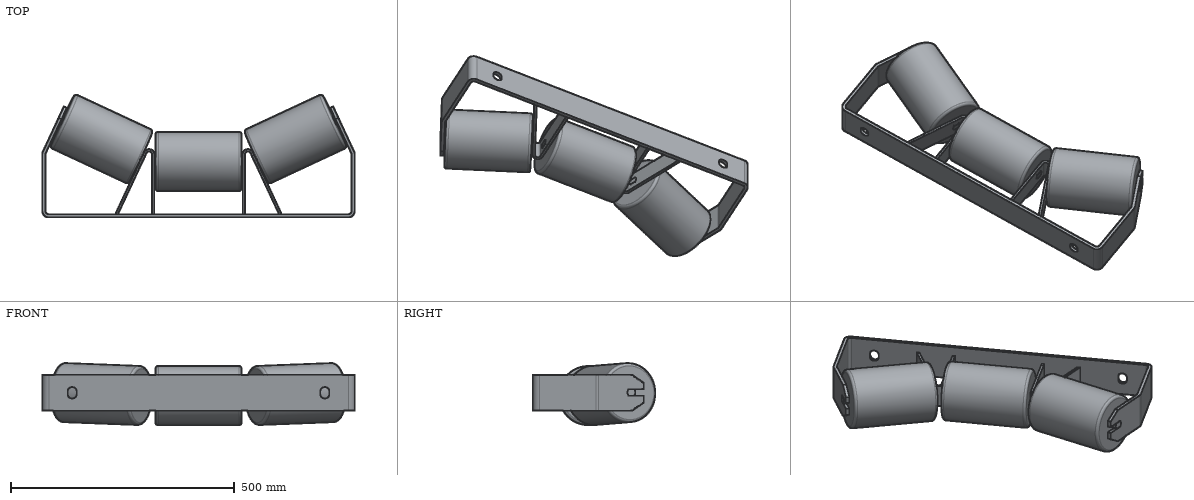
import cadquery as cq
import math

FRAME_LENGTH = 700.0
FRAME_HEIGHT = 80.0
FRAME_THICKNESS = 8.0
FRAME_BEND_RADIUS = 15.0
SIDE_HEIGHT = 144.0
ARM_TIP_Y = 248.5
ARM_TIP_WIDTH = 45.0
ARM_TAPER_LENGTH = 28.0
MOUNT_HOLE_X = 283.0
MOUNT_HOLE_WIDTH = 20.0
MOUNT_HOLE_HEIGHT = 26.0

SPLAY_ANGLE = 25.0
RISE_ANGLE = 2.0
ROLLER_DIAMETER = 133.0
ROLLER_LENGTH = 193.0
ROLLER_FILLET = 6.0
SHAFT_DIAMETER = 19.5
SHAFT_FLATS = 15.0
MIDDLE_ROLLER_Y = 125.0
MIDDLE_ROLLER_Z = -6.0
OUTER_ROLLER_X = 217.0
OUTER_ROLLER_Y = 176.0
OUTER_ROLLER_Z = -3.0

BRACKET_HEIGHT = 50.5
BRACKET_THICKNESS = 5.5
BRACKET_BEND_RADIUS = 12.0
BRACKET_INNER_X = 99.0
BRACKET_TOP_Y = 153.0

SPLAY = math.radians(SPLAY_ANGLE)
BEND_X = -BRACKET_INNER_X - BRACKET_BEND_RADIUS
BEND_Y = BRACKET_TOP_Y - BRACKET_BEND_RADIUS
SEAT_CUT_LENGTH = 1.2 * ROLLER_LENGTH
ARM_TIP_X = FRAME_LENGTH / 2 - (ARM_TIP_Y - SIDE_HEIGHT) * math.tan(SPLAY)


def along_left_axis(x, y):
    """Distance of a point along the splayed axis of the left roller, growing inwards."""
    return x * math.cos(SPLAY) - y * math.sin(SPLAY)


def bar_along_x(diameter, length):
    """Round bar along X, centred on the origin."""
    return cq.Workplane("YZ", origin=(-length / 2, 0, 0)).circle(diameter / 2).extrude(length)


def double_d_bar(diameter, flats, length):
    """Round bar along X, centred on the origin, flattened above and below."""
    bar = bar_along_x(diameter, length)
    return bar.intersect(cq.Workplane("XY").box(length, diameter, flats))


def place_middle(part):
    """Move a part lying along X to the middle roller position."""
    return part.translate((0, MIDDLE_ROLLER_Y, MIDDLE_ROLLER_Z))


def place_left(part):
    """Tilt a part lying along X and move it to the left roller position."""
    risen = part.rotate((0, 0, 0), (0, 1, 0), RISE_ANGLE)
    splayed = risen.rotate((0, 0, 0), (0, 0, 1), -SPLAY_ANGLE)
    return splayed.translate((-OUTER_ROLLER_X, OUTER_ROLLER_Y, OUTER_ROLLER_Z))


def mirrored(part):
    """Copy of a left-hand part on the right-hand side."""
    return part.mirror("YZ")


def make_roller(shaft_start, shaft_end):
    """Roller along X whose flattened shaft runs from x = -shaft_start to x = shaft_end."""
    shell = bar_along_x(ROLLER_DIAMETER, ROLLER_LENGTH).faces("<X or >X").edges().fillet(ROLLER_FILLET)
    shaft = double_d_bar(SHAFT_DIAMETER, SHAFT_FLATS, shaft_start + shaft_end)
    return shell.union(shaft.translate(((shaft_end - shaft_start) / 2, 0, 0)))


def make_middle_roller():
    """Roller whose shaft ends flush with the far faces of both bracket uprights."""
    shaft_reach = BRACKET_INNER_X + BRACKET_THICKNESS
    return place_middle(make_roller(shaft_reach, shaft_reach))


def make_left_roller():
    """Roller whose shaft ends flush with the outer arm face and the far face of the bracket leg."""
    centre = along_left_axis(-OUTER_ROLLER_X, OUTER_ROLLER_Y)
    arm_face = along_left_axis(-FRAME_LENGTH / 2, SIDE_HEIGHT)
    leg_face = along_left_axis(BEND_X, BEND_Y) - (BRACKET_BEND_RADIUS - BRACKET_THICKNESS)
    return place_left(make_roller(centre - arm_face, leg_face - centre))


def shaft_seat_bar():
    """Bar of the shaft section, long enough to pass through the supports at both roller ends."""
    return double_d_bar(SHAFT_DIAMETER, SHAFT_FLATS, SEAT_CUT_LENGTH)


def arm_slot_cutter():
    """Slot for the shaft at the outer end of the left roller, open towards the arm tip."""
    opening_length = ARM_TIP_Y - SIDE_HEIGHT
    opening = cq.Workplane("XY").box(
        SEAT_CUT_LENGTH, opening_length, SHAFT_FLATS, centered=(True, False, True)
    )
    return place_left(shaft_seat_bar().union(opening))


def arm_corner_cutters():
    """Wedges that taper the tip of the left arm above and below."""
    plane = cq.Plane(
        origin=(-ARM_TIP_X, ARM_TIP_Y, 0),
        xDir=(-math.sin(SPLAY), -math.cos(SPLAY), 0),
        normal=(math.cos(SPLAY), -math.sin(SPLAY), 0),
    )
    corners = []
    for side in (1, -1):
        corner = (
            cq.Workplane(plane)
            .moveTo(0, side * ARM_TIP_WIDTH / 2)
            .lineTo(ARM_TAPER_LENGTH, side * FRAME_HEIGHT / 2)
            .lineTo(0, side * FRAME_HEIGHT / 2)
            .close()
            .extrude(2 * FRAME_THICKNESS, both=True)
        )
        corners.append(corner)
    return corners


def make_frame():
    """Bent strip with slotted arms and two obround mounting holes."""
    half = FRAME_LENGTH / 2
    inner_half = half - FRAME_THICKNESS
    inner_side = SIDE_HEIGHT - FRAME_THICKNESS * math.tan(SPLAY / 2)
    inner_tip = (
        ARM_TIP_X - FRAME_THICKNESS * math.cos(SPLAY),
        ARM_TIP_Y - FRAME_THICKNESS * math.sin(SPLAY),
    )
    right_outer = [(half, 0), (half, SIDE_HEIGHT), (ARM_TIP_X, ARM_TIP_Y)]
    right_inner = [inner_tip, (inner_half, inner_side), (inner_half, FRAME_THICKNESS)]
    right = right_outer + right_inner
    left = [(-x, y) for x, y in reversed(right)]
    frame = (
        cq.Workplane("XY").polyline(right + left).close().extrude(FRAME_HEIGHT / 2, both=True)
    )
    for x in (-half, half):
        for y in (0, SIDE_HEIGHT):
            frame = frame.edges(cq.selectors.NearestToPointSelector((x, y, 0))).fillet(FRAME_BEND_RADIUS)
    inner_radius = FRAME_BEND_RADIUS - FRAME_THICKNESS
    for x in (-inner_half, inner_half):
        for y in (FRAME_THICKNESS, inner_side):
            frame = frame.edges(cq.selectors.NearestToPointSelector((x, y, 0))).fillet(inner_radius)
    holes = (
        cq.Workplane("XZ")
        .pushPoints([(-MOUNT_HOLE_X, 0), (MOUNT_HOLE_X, 0)])
        .slot2D(MOUNT_HOLE_HEIGHT, MOUNT_HOLE_WIDTH, 90)
        .extrude(FRAME_THICKNESS, both=True)
    )
    frame = frame.cut(holes)
    for cutter in [arm_slot_cutter(), *arm_corner_cutters()]:
        frame = frame.cut(cutter).cut(mirrored(cutter))
    return frame


def make_left_bracket():
    """Folded strip: an upright leg, a round fold and a leg sloping down to the frame."""
    inner_radius = BRACKET_BEND_RADIUS - BRACKET_THICKNESS
    fold_angle = math.pi - SPLAY
    mid_angle = fold_angle / 2

    def on_bend(radius, angle):
        return (BEND_X + radius * math.cos(angle), BEND_Y + radius * math.sin(angle))

    def foot(radius):
        start_x, start_y = on_bend(radius, fold_angle)
        return (start_x - (start_y - FRAME_THICKNESS) * math.tan(SPLAY), FRAME_THICKNESS)

    bracket = (
        cq.Workplane("XY", origin=(0, 0, MIDDLE_ROLLER_Z - BRACKET_HEIGHT / 2))
        .moveTo(-BRACKET_INNER_X, FRAME_THICKNESS)
        .lineTo(*on_bend(BRACKET_BEND_RADIUS, 0))
        .threePointArc(on_bend(BRACKET_BEND_RADIUS, mid_angle), on_bend(BRACKET_BEND_RADIUS, fold_angle))
        .lineTo(*foot(BRACKET_BEND_RADIUS))
        .lineTo(*foot(inner_radius))
        .lineTo(*on_bend(inner_radius, fold_angle))
        .threePointArc(on_bend(inner_radius, mid_angle), on_bend(inner_radius, 0))
        .lineTo(BEND_X + inner_radius, FRAME_THICKNESS)
        .close()
        .extrude(BRACKET_HEIGHT)
    )
    return bracket.cut(place_middle(shaft_seat_bar())).cut(place_left(shaft_seat_bar()))


frame = make_frame()
left_bracket = make_left_bracket()
brackets = [left_bracket, mirrored(left_bracket)]
left_roller = make_left_roller()
rollers = [left_roller, make_middle_roller(), mirrored(left_roller)]

result = cq.Compound.makeCompound([frame.val(), *[b.val() for b in brackets], *[r.val() for r in rollers]])